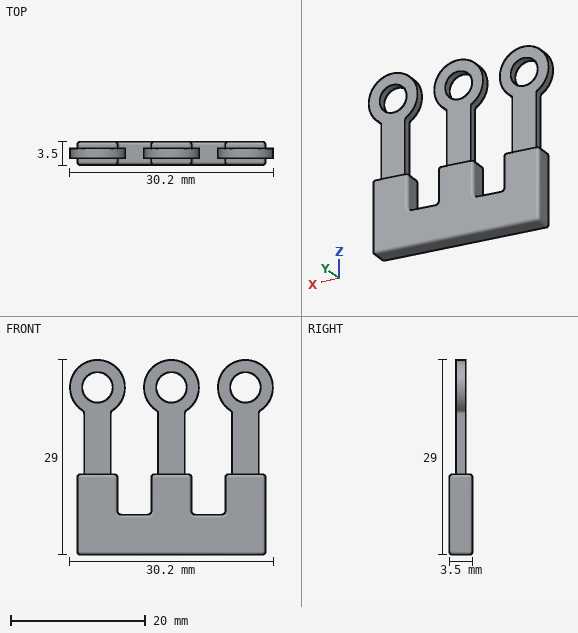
import cadquery as cq
import math

pole_count = 3
pole_pitch = 11.0
tooth_width = 6.0
housing_depth = 3.5
housing_height = 12.0
slot_depth = 6.0
edge_radius = 0.5

ring_radius = 4.1
hole_diameter = 4.5
stem_width = 4.0
tongue_thickness = 1.5
tongue_length = 17.0
neck_radius = 0.5

housing_width = (pole_count - 1) * pole_pitch + tooth_width
slot_width = pole_pitch - tooth_width
slot_floor = housing_height - slot_depth
ring_center_height = housing_height + tongue_length - ring_radius
pole_positions = [(i - (pole_count - 1) / 2) * pole_pitch for i in range(pole_count)]
slot_positions = [x + pole_pitch / 2 for x in pole_positions[:-1]]


def upright_plane(thickness):
    """XZ plane on the back face of a plate centred on Y = 0; extrusion runs toward -Y."""
    return cq.Workplane("XZ", origin=(0, thickness / 2, 0))


def make_housing():
    """Block with a slot between neighbouring teeth and every edge rounded."""
    block = cq.Workplane("XY").box(housing_width, housing_depth, housing_height, centered=(True, True, False))
    for x in slot_positions:
        slot = (
            cq.Workplane("XY", origin=(x, 0, slot_floor))
            .box(slot_width, housing_depth, slot_depth, centered=(True, True, False))
        )
        block = block.cut(slot)
    return block.edges().fillet(edge_radius)


def make_tongue(x):
    """Flat ring on a straight stem standing on a tooth, with rounded inner corners at the neck."""
    half_stem = stem_width / 2
    neck_center_x = half_stem + neck_radius
    neck_center_drop = math.sqrt((ring_radius + neck_radius) ** 2 - neck_center_x**2)
    neck_center_z = ring_center_height - neck_center_drop
    ring_share = ring_radius / (ring_radius + neck_radius)
    ring_touch_x = neck_center_x * ring_share
    ring_touch_z = ring_center_height - neck_center_drop * ring_share
    ring_top = ring_center_height + ring_radius

    profile = (
        upright_plane(tongue_thickness)
        .moveTo(-half_stem, housing_height)
        .lineTo(half_stem, housing_height)
        .lineTo(half_stem, neck_center_z)
        .radiusArc((ring_touch_x, ring_touch_z), neck_radius)
        .threePointArc((0, ring_top), (-ring_touch_x, ring_touch_z))
        .radiusArc((-half_stem, neck_center_z), neck_radius)
        .close()
    )
    hole = (
        upright_plane(tongue_thickness)
        .center(0, ring_center_height)
        .circle(hole_diameter / 2)
        .extrude(tongue_thickness)
    )
    return profile.extrude(tongue_thickness).cut(hole).translate((x, 0, 0))


housing = make_housing()
tongues = [make_tongue(x) for x in pole_positions]

result = cq.Compound.makeCompound([housing.val(), *[tongue.val() for tongue in tongues]])